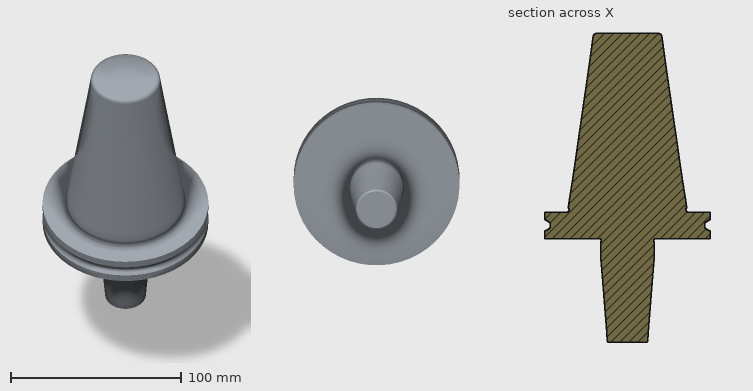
import cadquery as cq

TOTAL_LENGTH = 181.8
GAUGE_Z = 80.0
FLANGE_TOP_Z = 76.9
FLANGE_BOTTOM_Z = 60.9
NOSE_CONE_TOP_Z = 50.9

GAUGE_RADIUS = 34.9
TAPER_SLOPE = 7 / 48
SHANK_END_ROUND = 2.4

RELIEF_RADIUS = 34.5
GAUGE_LAND = 0.7
RELIEF_STEP = 0.4
RELIEF_ROOT_FILLET = 1.3
UNDERCUT_OUTER_RADIUS = 36.5
UNDERCUT_DEPTH = 0.2

FLANGE_RADIUS = 48.7
GROOVE_FLOOR_RADIUS = 45.6
GROOVE_CENTER_Z = 68.9
GROOVE_FLOOR_WIDTH = 3.0
GROOVE_ROOT_FILLET = 0.7
GROOVE_MOUTH_WIDTH = 6.7

NOSE_RADIUS = 16.0
NOSE_TIP_RADIUS = 12.0
NOSE_CHAMFER = 0.9
NOSE_RELIEF_DEPTH = 0.5
NOSE_RELIEF_STEP = 1.0
NOSE_RELIEF_BOTTOM_Z = 58.9

shank_end_radius = GAUGE_RADIUS - TAPER_SLOPE * (TOTAL_LENGTH - GAUGE_Z)


def make_body():
    """Revolve the half section from the nose tip up to the shank end."""
    nose_relief_radius = NOSE_RADIUS - NOSE_RELIEF_DEPTH
    nose_relief_top_z = NOSE_RELIEF_BOTTOM_Z + NOSE_RELIEF_STEP
    undercut_z = FLANGE_TOP_Z - UNDERCUT_DEPTH
    half_section = (
        cq.Workplane("XZ")
        .moveTo(0, 0)
        .lineTo(NOSE_TIP_RADIUS - NOSE_CHAMFER, 0)
        .lineTo(NOSE_TIP_RADIUS, NOSE_CHAMFER)
        .lineTo(NOSE_RADIUS, NOSE_CONE_TOP_Z)
        .lineTo(NOSE_RADIUS, NOSE_RELIEF_BOTTOM_Z)
        .lineTo(nose_relief_radius, nose_relief_top_z)
        .lineTo(NOSE_RADIUS, FLANGE_BOTTOM_Z)
        .lineTo(FLANGE_RADIUS, FLANGE_BOTTOM_Z)
        .lineTo(FLANGE_RADIUS, FLANGE_TOP_Z)
        .lineTo(UNDERCUT_OUTER_RADIUS, FLANGE_TOP_Z)
        .lineTo(RELIEF_RADIUS + RELIEF_ROOT_FILLET, undercut_z)
        .radiusArc((RELIEF_RADIUS, undercut_z + RELIEF_ROOT_FILLET), RELIEF_ROOT_FILLET)
        .lineTo(RELIEF_RADIUS, GAUGE_Z - GAUGE_LAND - RELIEF_STEP)
        .lineTo(GAUGE_RADIUS, GAUGE_Z - GAUGE_LAND)
        .lineTo(GAUGE_RADIUS, GAUGE_Z)
        .lineTo(shank_end_radius, TOTAL_LENGTH)
        .lineTo(0, TOTAL_LENGTH)
        .close()
    )
    return half_section.revolve(360, (0, 0, 0), (0, 1, 0))


def make_groove():
    """Ring with the trapezoid section of the flange groove, rounded at its floor."""
    half_floor = GROOVE_FLOOR_WIDTH / 2
    half_mouth = GROOVE_MOUTH_WIDTH / 2
    section = (
        cq.Workplane("XZ")
        .moveTo(GROOVE_FLOOR_RADIUS, GROOVE_CENTER_Z - half_floor)
        .lineTo(FLANGE_RADIUS, GROOVE_CENTER_Z - half_mouth)
        .lineTo(FLANGE_RADIUS, GROOVE_CENTER_Z + half_mouth)
        .lineTo(GROOVE_FLOOR_RADIUS, GROOVE_CENTER_Z + half_floor)
        .close()
    )
    ring = section.revolve(360, (0, 0, 0), (0, 1, 0))
    floor_edges = ring.edges(cq.selectors.RadiusNthSelector(0))
    return floor_edges.fillet(GROOVE_ROOT_FILLET)


body = make_body().faces(">Z").edges().fillet(SHANK_END_ROUND)
result = body.cut(make_groove())